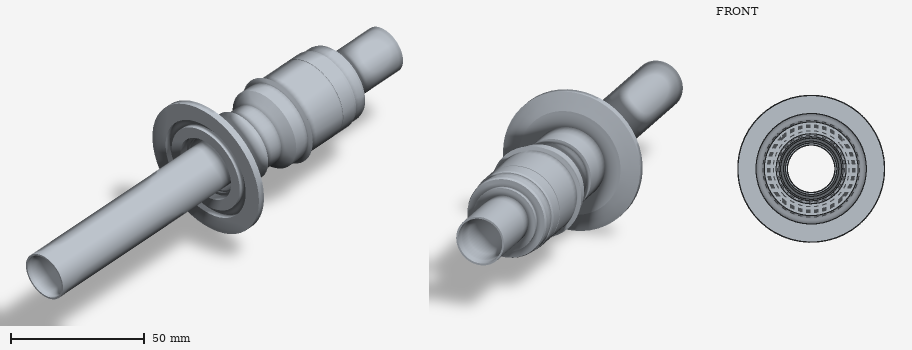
import cadquery as cq

LENGTH = 184.2
TUBE_RADIUS = 9.5
TUBE_BORE_RADIUS = 8.8

FLANGE_RADIUS = 27.5
FLANGE_TAPER_TOP_RADIUS = 20.5
FLANGE_FACE_Y = 87.3
FLANGE_RIM_END_Y = 90.0
FLANGE_END_Y = 92.0
GROOVE_OUTER_RADIUS = 20.6
GROOVE_INNER_RADIUS = 17.5
GROOVE_DEPTH = 2.4

SLEEVE_RADIUS = 14.2
SLEEVE_END_Y = 106.3
NECK_RADIUS = 12.5
NECK_END_Y = 115.1

BODY_RADIUS = 16.4
BODY_START_Y = 119.1
FIN_RADIUS = 18.0
FIN_START_Y = 125.2
FIN_TIP_Y = 126.3
FIN_END_Y = 126.7
SEAM_Y = 144.4
SEAM_WIDTH = 0.5
SEAM_DEPTH = 0.2
BODY_END_Y = 151.7
BODY_EDGE_LENGTH = 1.1
BODY_EDGE_DROP = 0.2
CAP_RADIUS = 15.8
CAP_END_Y = 157.5
CAP_CHAMFER_LENGTH = 1.1
CAP_CHAMFER_DROP = 0.4
COLLAR_RADIUS = 12.5
COLLAR_END_Y = 159.1

MOUTH_RADIUS = 13.0
MOUTH_END_Y = 90.8
THROAT_RADIUS = 12.0
THROAT_END_Y = 91.7
NECK_BORE_RADIUS = 11.5
NECK_BORE_END_Y = NECK_END_Y
INNER_BORE_RADIUS = 10.3
INNER_BORE_END_Y = BODY_START_Y
CLEARANCE_STEPS = [
    (MOUTH_RADIUS, MOUTH_END_Y),
    (THROAT_RADIUS, THROAT_END_Y),
    (NECK_BORE_RADIUS, NECK_BORE_END_Y),
    (INNER_BORE_RADIUS, INNER_BORE_END_Y),
]



def ring(outer_radius, inner_radius, start_y, end_y):
    """Hollow cylinder about the Y axis."""
    plane = cq.Workplane("XZ", origin=(0, start_y, 0))
    return plane.circle(outer_radius).circle(inner_radius).extrude(start_y - end_y)


def make_housing():
    """Flange, sleeve and insulator body, revolved from one (radius, y) outline."""
    outline = [
        (TUBE_BORE_RADIUS, FLANGE_FACE_Y),
        (FLANGE_RADIUS, FLANGE_FACE_Y),
        (FLANGE_RADIUS, FLANGE_RIM_END_Y),
        (FLANGE_TAPER_TOP_RADIUS, FLANGE_END_Y),
        (SLEEVE_RADIUS, FLANGE_END_Y),
        (SLEEVE_RADIUS, SLEEVE_END_Y),
        (NECK_RADIUS, SLEEVE_END_Y),
        (NECK_RADIUS, NECK_END_Y),
        (BODY_RADIUS, BODY_START_Y),
        (BODY_RADIUS, FIN_START_Y),
        (FIN_RADIUS, FIN_TIP_Y),
        (BODY_RADIUS, FIN_END_Y),
        (BODY_RADIUS, BODY_END_Y - BODY_EDGE_LENGTH),
        (BODY_RADIUS - BODY_EDGE_DROP, BODY_END_Y),
        (CAP_RADIUS, BODY_END_Y),
        (CAP_RADIUS, CAP_END_Y - CAP_CHAMFER_LENGTH),
        (CAP_RADIUS - CAP_CHAMFER_DROP, CAP_END_Y),
        (COLLAR_RADIUS, CAP_END_Y),
        (COLLAR_RADIUS, COLLAR_END_Y),
        (TUBE_BORE_RADIUS, COLLAR_END_Y),
    ]
    return cq.Workplane("XY").polyline(outline).close().revolve(360, (0, 0, 0), (0, 1, 0))


def cut_rings(housing):
    """Cut the face groove, the stepped clearance and the fine seam around the body."""
    face_groove = ring(GROOVE_OUTER_RADIUS, GROOVE_INNER_RADIUS, FLANGE_FACE_Y, FLANGE_FACE_Y + GROOVE_DEPTH)
    seam = ring(FIN_RADIUS, BODY_RADIUS - SEAM_DEPTH, SEAM_Y - SEAM_WIDTH / 2, SEAM_Y + SEAM_WIDTH / 2)
    housing = housing.cut(face_groove).cut(seam)
    for step_radius, step_end_y in CLEARANCE_STEPS:
        housing = housing.cut(ring(step_radius, TUBE_RADIUS, FLANGE_FACE_Y, step_end_y))
    return housing


tube = ring(TUBE_RADIUS, TUBE_BORE_RADIUS, 0, LENGTH)
result = cut_rings(make_housing()).union(tube)